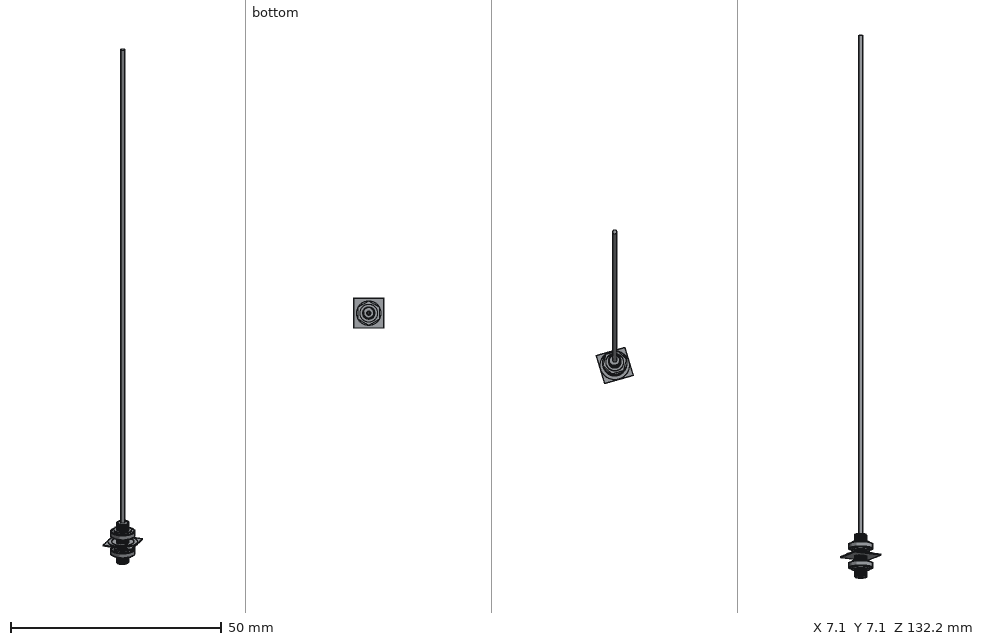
import cadquery as cq
import math

TOTAL_LENGTH = 132.2
CABLE_RADIUS = 0.5
TIP_RADIUS = 0.3
TIP_LENGTH = 0.3

BUSHING_BASE = TIP_LENGTH
BUSHING_TOP = 10.6
BUSHING_LENGTH = BUSHING_TOP - BUSHING_BASE
THREAD_RADIUS = 1.5
THREAD_PITCH = 0.5
THREAD_DEPTH = 0.3
THREAD_FLANK_ANGLE = 30.0
CUTTER_OVERSHOOT = 0.07

NUT_BASES = (2.1, 6.7)
NUT_RADIUS = 2.9
NUT_BOSS_RADIUS = 2.1
NUT_HEIGHT = 2.0
NUT_HEX_HEIGHT = 1.3
NUT_FLANGE_HEIGHT = 1.0

PLATE_SIDE = 7.1
PLATE_BASE = 5.3
PLATE_THICKNESS = 0.3
WASHER_BASE = PLATE_BASE + PLATE_THICKNESS
WASHER_RADIUS = 7.0 / 2
WASHER_BORE_RADIUS = 2.6
WASHER_THICKNESS = 0.1


def level(height):
    """Horizontal workplane at a height, with its local X along -Y."""
    return cq.Workplane(cq.Plane(origin=(0, 0, height), xDir=(0, -1, 0), normal=(0, 0, 1)))


def disc(radius, base, height):
    """Upright cylinder on the common axis."""
    return level(base).circle(radius).extrude(height)


def make_cable():
    tip = disc(TIP_RADIUS, 0, TIP_LENGTH)
    return tip.union(disc(CABLE_RADIUS, TIP_LENGTH, TOTAL_LENGTH - TIP_LENGTH))


def make_thread_cutter():
    """V section swept up a helix that runs one pitch past both ends of the bushing."""
    start = BUSHING_BASE - THREAD_PITCH
    helix = cq.Wire.makeHelix(
        THREAD_PITCH,
        BUSHING_LENGTH + 2 * THREAD_PITCH,
        THREAD_RADIUS,
        center=cq.Vector(0, 0, start),
    )
    root = THREAD_RADIUS - THREAD_DEPTH
    outer = THREAD_RADIUS + CUTTER_OVERSHOOT
    half_width = (outer - root) * math.tan(math.radians(THREAD_FLANK_ANGLE))
    section = (
        cq.Workplane("XZ")
        .moveTo(root, start)
        .lineTo(outer, start + half_width)
        .lineTo(outer, start - half_width)
        .close()
    )
    return section.sweep(cq.Workplane(obj=helix), isFrenet=True)


def make_bushing():
    """The thread is cut in an overlong blank, which is then trimmed to length and bored."""
    margin = 3 * THREAD_PITCH
    blank = disc(THREAD_RADIUS, BUSHING_BASE - margin, BUSHING_LENGTH + 2 * margin)
    trim = disc(THREAD_RADIUS, BUSHING_BASE, BUSHING_LENGTH)
    bore = disc(CABLE_RADIUS, BUSHING_BASE, BUSHING_LENGTH)
    return blank.cut(make_thread_cutter()).intersect(trim).cut(bore)


def make_nut(base):
    """Hexagon with corners on a round flange of the same radius, and a boss on each face."""
    middle = base + NUT_HEIGHT / 2
    hexagon = level(middle - NUT_HEX_HEIGHT / 2).polygon(6, 2 * NUT_RADIUS).extrude(NUT_HEX_HEIGHT)
    flange = disc(NUT_RADIUS, middle - NUT_FLANGE_HEIGHT / 2, NUT_FLANGE_HEIGHT)
    boss = disc(NUT_BOSS_RADIUS, base, NUT_HEIGHT)
    bore = disc(THREAD_RADIUS, base, NUT_HEIGHT)
    return hexagon.union(flange).union(boss).cut(bore)


def make_plate():
    plate = level(PLATE_BASE).rect(PLATE_SIDE, PLATE_SIDE).extrude(PLATE_THICKNESS)
    return plate.cut(disc(THREAD_RADIUS, PLATE_BASE, PLATE_THICKNESS))


def make_washer():
    blank = disc(WASHER_RADIUS, WASHER_BASE, WASHER_THICKNESS)
    return blank.cut(disc(WASHER_BORE_RADIUS, WASHER_BASE, WASHER_THICKNESS))


cable = make_cable()
bushing = make_bushing()
nuts = [make_nut(base) for base in NUT_BASES]
plate = make_plate()
washer = make_washer()

result = cq.Compound.makeCompound(
    [cable.val(), bushing.val(), *[nut.val() for nut in nuts], plate.val(), washer.val()]
)